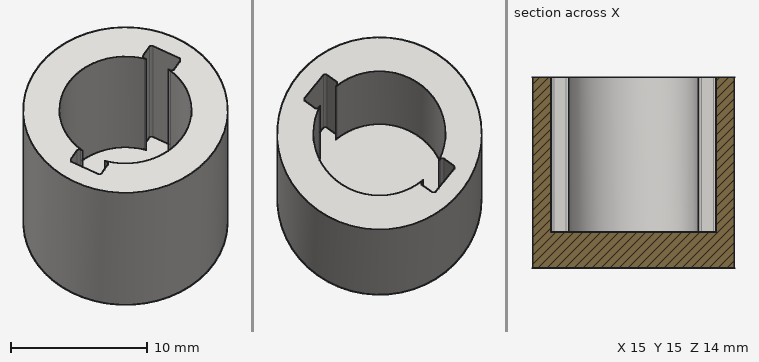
import cadquery as cq

outer_diameter = 15.0
height = 14.0
bore_diameter = 9.69
floor_thickness = (outer_diameter - bore_diameter) / 2
bore_depth = height - floor_thickness

keyway_width = 2.6
keyway_outer_reach = 6.03
keyway_inner_reach = 4.75
keyway_corner_radius = 0.2


def make_keyway(side):
    """Cutter for the keyway on the +Y (side=1) or -Y (side=-1) side."""
    center_y = side * (keyway_outer_reach + keyway_inner_reach) / 2
    return (
        cq.Workplane("XY", origin=(0, center_y, floor_thickness))
        .rect(keyway_width, keyway_outer_reach - keyway_inner_reach)
        .extrude(bore_depth)
        .edges("|Z")
        .fillet(keyway_corner_radius)
    )


body = cq.Workplane("XY").circle(outer_diameter / 2).extrude(height)
bore = (
    cq.Workplane("XY", origin=(0, 0, floor_thickness))
    .circle(bore_diameter / 2)
    .extrude(bore_depth)
)

result = body.cut(bore)
for side in (1, -1):
    result = result.cut(make_keyway(side))